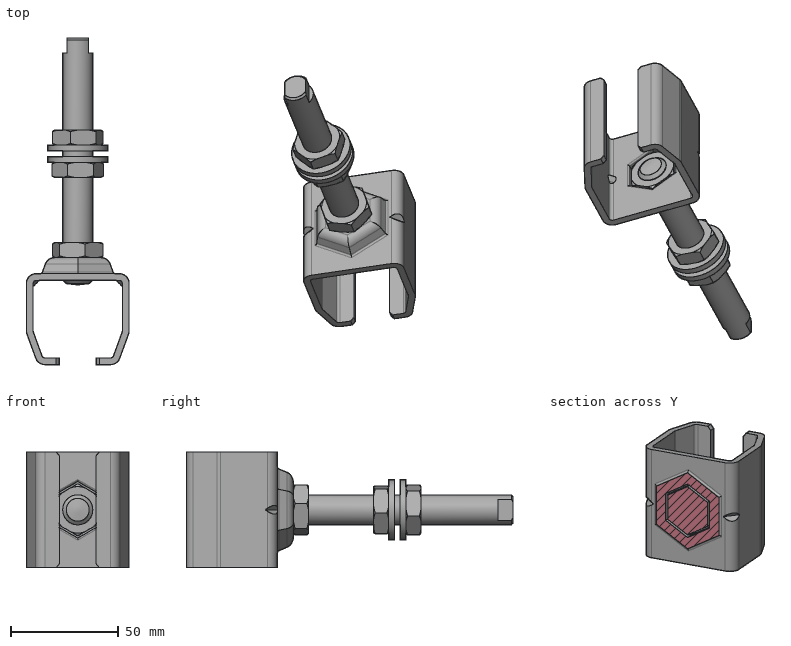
import cadquery as cq
import math

overall_length = 152.5
sheet = 3.2
bend_inner = 1.5
bend_outer = bend_inner + sheet
channel_width = 48.0
channel_height = 54.0
channel_depth = 42.5
wall_length = 27.5
jaw_angle = 20.0
slot_half = 8.5
lip_chamfer_x = 1.5
lip_chamfer_z = 1.8

boss_height = 7.5
boss_draft = 20.0
boss_base_apothem = 16.8
boss_base_fillet = 1.0
recess_apothem = 11.5
recess_edge_fillet = 0.8
recess_floor = boss_height - sheet

dart_groove_leg = 5.6
dart_crest_leg = 9.3
dart_crest_radius = 3.0

rod_diameter = 14.0
rod_tip = overall_length - channel_depth
rod_tip_chamfer = 0.9
flat_length = 7.0
flat_width = 10.0
rod_start = -4.7
rod_start_chamfer = 1.7
rod_cone_height = 0.6

nut_across_flats = 21.0
nut_height = 7.0
nut_face_diameter = 21.7
nut_chamfer_length = 0.8
boss_nut_turn = 16.0
lower_nut_turn = -23.0
upper_nut_turn = -16.0
washer_diameter = 28.0
washer_thickness = 2.7
washer_gap = 2.6
washer_start = 51.9

pick_margin = 0.2

root_two = math.sqrt(2)


def hexagon_diameter(apothem):
    """Corner to corner size of a hexagon."""
    return 2 * apothem / math.cos(math.radians(30))


def plane_at(y):
    """Plane facing +Y, with local x along Z and local y along X."""
    return cq.Workplane(cq.Plane(origin=(0, y, 0), xDir=(0, 0, 1), normal=(0, 1, 0)))


def cylinder(start, length, diameter):
    """Round bar along Y."""
    return plane_at(start).circle(diameter / 2).extrude(length)


def make_nut(start, turn):
    """Nut chamfered at both ends; turn swings its corners from +Z toward +X."""
    corner_diameter = hexagon_diameter(nut_across_flats / 2)
    hexagon = plane_at(start).polygon(6, corner_diameter).extrude(nut_height)
    blank = cylinder(start, nut_height, corner_diameter).faces("<Y or >Y").chamfer(
        nut_chamfer_length, (corner_diameter - nut_face_diameter) / 2
    )
    return hexagon.intersect(blank).rotate((0, 0, 0), (0, 1, 0), turn)


def channel_blank():
    """Solid prism inside the outer surface of the bent sheet."""
    half = channel_width / 2
    jaw_rise = channel_depth - wall_length
    foot = half - jaw_rise * math.tan(math.radians(jaw_angle))
    outline = [
        (half, 0), (half, -wall_length), (foot, -channel_depth),
        (-foot, -channel_depth), (-half, -wall_length), (-half, 0),
    ]
    return (
        cq.Workplane("XY").workplane(offset=-channel_height / 2)
        .polyline(outline).close().extrude(channel_height)
        .edges("|Z").fillet(bend_outer)
    )


def make_channel(blank):
    """Bent sheet with a slot between its lips, chamfered at the slot ends."""
    cavity = blank.faces("<Z").wires().toPending().offset2D(-sheet).extrude(
        channel_height, combine=False
    )
    top = channel_height / 2
    shoulder = top - lip_chamfer_z
    wide = slot_half + lip_chamfer_x
    slot_outline = [
        (top, wide), (shoulder, slot_half), (-shoulder, slot_half), (-top, wide),
        (-top, -wide), (-shoulder, -slot_half), (shoulder, -slot_half), (top, -wide),
    ]
    slot = plane_at(-channel_depth).polyline(slot_outline).close().extrude(2 * sheet)
    return blank.cut(cavity).cut(slot)


def dart_wedge(leg):
    """Right-angled wedge across the +X web bend; its edge meets web and wall at the given leg."""
    edge_depth = leg / root_two
    section = cq.Plane(
        origin=(channel_width / 2, 0, 0), xDir=(-1, -1, 0), normal=(-1, 1, 0)
    )
    return (
        cq.Workplane(section)
        .polyline([(edge_depth, 0), (0, edge_depth), (0, -edge_depth)]).close()
        .extrude(2 * leg, both=True)
    )


def add_darts(channel, blank):
    """Rounded ridge inside and V-groove outside, across both web bends."""
    crest_overshoot = dart_crest_radius * (root_two - 1)
    ridge = dart_wedge(dart_crest_leg + crest_overshoot * root_two)
    ridge = ridge.edges("<(1,1,0)").fillet(dart_crest_radius).intersect(blank)
    groove = dart_wedge(dart_groove_leg)
    for mirrored in (False, True):
        ridge_side = ridge.mirror("YZ") if mirrored else ridge
        groove_side = groove.mirror("YZ") if mirrored else groove
        channel = channel.union(ridge_side).cut(groove_side)
    return channel


def web_edges_at(y):
    """Selector for the boss and recess edges lying in the plane at y."""
    reach = boss_base_apothem + pick_margin
    return cq.selectors.BoxSelector(
        (-reach, y - pick_margin, -reach), (reach, y + pick_margin, reach)
    )


def add_boss(channel):
    """Drafted hexagonal boss outside the web, with a hexagonal recess behind it."""
    boss = (
        plane_at(0).polygon(6, hexagon_diameter(boss_base_apothem))
        .extrude(boss_height, taper=boss_draft)
        .faces(">Y").edges().fillet(bend_outer)
    )
    bossed = channel.union(boss).edges(web_edges_at(0)).fillet(boss_base_fillet)
    recess = (
        plane_at(-sheet).polygon(6, hexagon_diameter(recess_apothem))
        .extrude(recess_floor + sheet)
    )
    return bossed.cut(recess).edges(web_edges_at(-sheet)).fillet(recess_edge_fillet)


def make_rod():
    """Rod with a chamfered, coned front end and two wrench flats at the tip."""
    radius = rod_diameter / 2
    end_radius = radius - rod_start_chamfer
    rod = (
        cq.Workplane("XY")
        .moveTo(0, rod_start - rod_cone_height)
        .lineTo(end_radius, rod_start)
        .lineTo(radius, rod_start + rod_start_chamfer)
        .lineTo(radius, rod_tip - rod_tip_chamfer)
        .lineTo(radius - rod_tip_chamfer, rod_tip)
        .lineTo(0, rod_tip)
        .close()
        .revolve(360, (0, 0, 0), (0, 1, 0))
    )
    for side in (-1, 1):
        flat_cut = cq.Workplane("XY").box(rod_diameter, flat_length, rod_diameter).translate(
            (side * (flat_width + rod_diameter) / 2, rod_tip - flat_length / 2, 0)
        )
        rod = rod.cut(flat_cut)
    return rod


blank = channel_blank()
bracket = add_boss(add_darts(make_channel(blank), blank))

second_washer_start = washer_start + washer_thickness + washer_gap
washers = [
    cylinder(start, washer_thickness, washer_diameter)
    for start in (washer_start, second_washer_start)
]
nuts = [
    make_nut(recess_floor - nut_height, 0),
    make_nut(boss_height, boss_nut_turn),
    make_nut(washer_start - nut_height, lower_nut_turn),
    make_nut(second_washer_start + washer_thickness, upper_nut_turn),
]

result = bracket.union(make_rod())
for hardware in nuts + washers:
    result = result.union(hardware)